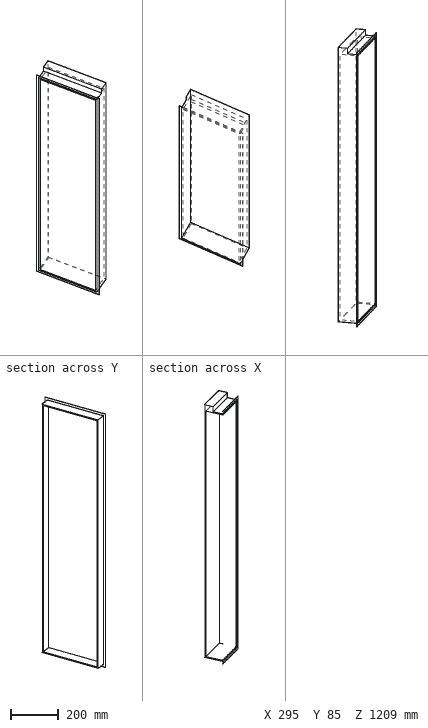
import cadquery as cq

FLANGE_WIDTH = 295.0
TOTAL_DEPTH = 85.0
TOTAL_HEIGHT = 1209.0

FLANGE_BORDER = 11.0
FLANGE_THICKNESS = 1.0

REAR_DEPTH = 41.0
SHELF_DROP = 24.0

PANEL_THICKNESS = 0.6
WALL_THICKNESS = 7.0

HOUSING_WIDTH = FLANGE_WIDTH - 2 * FLANGE_BORDER
HOUSING_BOTTOM = FLANGE_BORDER
SHELF_HEIGHT = TOTAL_HEIGHT - SHELF_DROP
FLANGE_HEIGHT = SHELF_HEIGHT + FLANGE_BORDER
PANEL_HEIGHT = SHELF_HEIGHT - HOUSING_BOTTOM
CAVITY_DEPTH = TOTAL_DEPTH - WALL_THICKNESS - PANEL_THICKNESS


def upright_block(width, depth, height, front_y, bottom_z):
    """Block centred on X, given by its front face and its lower edge."""
    return (
        cq.Workplane("XY")
        .box(width, depth, height, centered=(True, False, False))
        .translate((0, front_y, bottom_z))
    )


def make_panel():
    """Flat panel, flush with the front of the flange."""
    return upright_block(HOUSING_WIDTH, PANEL_THICKNESS, PANEL_HEIGHT, 0, HOUSING_BOTTOM)


def make_stepped_body():
    """Housing block with the shelf cut along its top front edge."""
    step_y = TOTAL_DEPTH - REAR_DEPTH
    side_profile = [
        (0, HOUSING_BOTTOM),
        (TOTAL_DEPTH, HOUSING_BOTTOM),
        (TOTAL_DEPTH, TOTAL_HEIGHT),
        (step_y, TOTAL_HEIGHT),
        (step_y, SHELF_HEIGHT),
        (0, SHELF_HEIGHT),
    ]
    return cq.Workplane("YZ").polyline(side_profile).close().extrude(HOUSING_WIDTH / 2, both=True)


def make_housing(panel):
    """Stepped body with a front flange, a seat for the panel and a cavity behind it."""
    flange = upright_block(FLANGE_WIDTH, FLANGE_THICKNESS, FLANGE_HEIGHT, 0, 0)
    cavity = upright_block(
        HOUSING_WIDTH - 2 * WALL_THICKNESS,
        CAVITY_DEPTH,
        PANEL_HEIGHT - 2 * WALL_THICKNESS,
        PANEL_THICKNESS,
        HOUSING_BOTTOM + WALL_THICKNESS,
    )
    return make_stepped_body().union(flange).cut(panel).cut(cavity)


panel = make_panel()
housing = make_housing(panel)
result = cq.Compound.makeCompound([housing.val(), panel.val()])